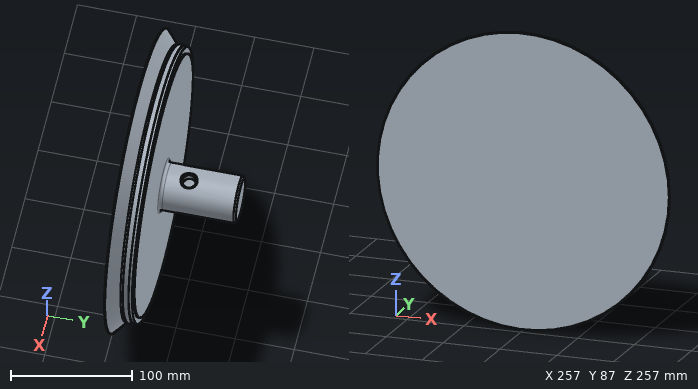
import cadquery as cq
import math

rim_diameter = 257.0
total_length = 87.0
rim_thickness = 1.0
rim_chamfer = 0.5
neck_diameter = 233.0
neck_start = 11.3
band_diameter = 234.5
band_start = 13.4
band_end = 18.2
neck_end = 21.0
pad_diameter = 222.0
pad_end = 22.0

shank_diameter = 40.0
shank_chamfer = 1.8
shank_root_fillet = 3.0

hole_diameter = 11.5
hole_mouth_diameter = 14.0
hole_y = 44.2
hole_tilt = 10.0
hole_tip_radius = 7.0
drill_point_angle = 118.0


def make_turned_body():
    """Disc and shank, turned about the Y axis."""
    rim_radius = rim_diameter / 2
    neck_radius = neck_diameter / 2
    band_radius = band_diameter / 2
    pad_radius = pad_diameter / 2
    shank_radius = shank_diameter / 2
    root_radius = shank_radius + shank_root_fillet
    root_end = pad_end + shank_root_fillet
    arc_offset = shank_root_fillet * math.sqrt(0.5)
    profile = (
        cq.Workplane("XY")
        .lineTo(rim_radius - rim_chamfer, 0)
        .lineTo(rim_radius, rim_chamfer)
        .lineTo(rim_radius, rim_thickness)
        .lineTo(neck_radius, neck_start)
        .lineTo(neck_radius, band_start)
        .lineTo(band_radius, band_start)
        .lineTo(band_radius, band_end)
        .lineTo(neck_radius, band_end)
        .lineTo(neck_radius, neck_end)
        .lineTo(pad_radius, neck_end)
        .lineTo(pad_radius, pad_end)
        .lineTo(root_radius, pad_end)
        .threePointArc(
            (root_radius - arc_offset, root_end - arc_offset),
            (shank_radius, root_end),
        )
        .lineTo(shank_radius, total_length - shank_chamfer)
        .lineTo(shank_radius - shank_chamfer, total_length)
        .lineTo(0, total_length)
        .close()
    )
    return profile.revolve(360, (0, 0, 0), (0, 1, 0))


def make_cross_hole():
    """Drilled volume with a conical tip and a countersunk mouth."""
    hole_radius = hole_diameter / 2
    mouth_radius = hole_mouth_diameter / 2
    shank_radius = shank_diameter / 2
    point_height = hole_radius / math.tan(math.radians(drill_point_angle / 2))
    mouth_z = math.sqrt(shank_radius**2 - mouth_radius**2)
    countersink_depth = mouth_radius - hole_radius
    profile = (
        cq.Workplane("XZ")
        .moveTo(0, hole_tip_radius)
        .lineTo(hole_radius, hole_tip_radius + point_height)
        .lineTo(hole_radius, mouth_z - countersink_depth)
        .lineTo(mouth_radius, mouth_z)
        .lineTo(mouth_radius, shank_diameter)
        .lineTo(0, shank_diameter)
        .close()
    )
    hole = profile.revolve(360, (0, 0, 0), (0, 1, 0))
    return hole.rotate((0, 0, 0), (0, 1, 0), hole_tilt).translate((0, hole_y, 0))


result = make_turned_body().cut(make_cross_hole())